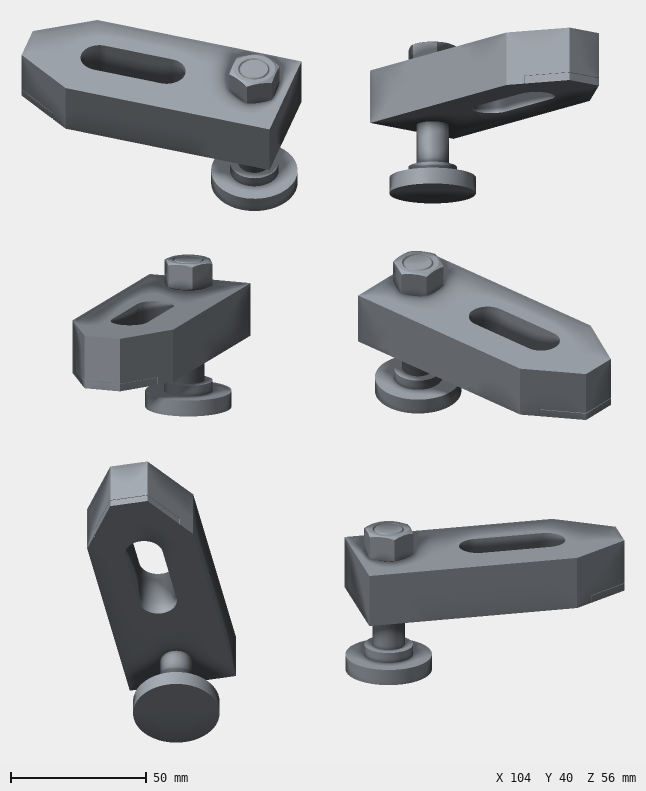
import cadquery as cq
import math

PLATE_LENGTH = 100.0
PLATE_WIDTH = 40.0
PLATE_THICKNESS = 20.0
NOSE_WIDTH = 14.0
NOSE_LENGTH = 21.0
SLOT_START = 21.0
SLOT_LENGTH = 40.0
SLOT_WIDTH = 14.0

PAD_LENGTH = 15.0
PAD_HEIGHT = 3.0
GROOVE_WIDTH = 0.2
GROOVE_DEPTH = 0.3

FOOT_DIAMETER = 32.0
FOOT_THICKNESS = 6.0
COLLAR_DIAMETER = 18.0
COLLAR_THICKNESS = 4.0
SHANK_DIAMETER = 12.0
END_DIAMETER = 11.0
END_CHAMFER = 0.47
STUD_DROP = 26.0
STUD_X = 104.0 - FOOT_DIAMETER / 2

NUT_ACROSS_FLATS = 16.5
NUT_HEIGHT = 10.0
NUT_FACE_DIAMETER = 15.4
NUT_CHAMFER_ANGLE = 25.0
NUT_COUNTERSINK = 0.47

NUT_TOP = PLATE_THICKNESS + NUT_HEIGHT


def plate_outline():
    """Rectangle tapering to a narrower flat nose."""
    half_width = PLATE_WIDTH / 2
    half_nose = NOSE_WIDTH / 2
    return cq.Workplane("XY").polyline([
        (0, -half_nose),
        (NOSE_LENGTH, -half_width),
        (PLATE_LENGTH, -half_width),
        (PLATE_LENGTH, half_width),
        (NOSE_LENGTH, half_width),
        (0, half_nose),
    ]).close()


def nose_block(length, height):
    """Full-width block at the lower corner of the nose."""
    return cq.Workplane("XY").box(length, PLATE_WIDTH, height, centered=(False, True, False))


def pad_groove():
    """Thin L-shaped band that cuts only into the outer skin of the plate."""
    band = nose_block(PAD_LENGTH, PAD_HEIGHT).cut(
        nose_block(PAD_LENGTH - GROOVE_WIDTH, PAD_HEIGHT - GROOVE_WIDTH)
    )
    core = plate_outline().offset2D(-GROOVE_DEPTH).extrude(PLATE_THICKNESS)
    return band.cut(core)


def make_plate():
    slot = (
        cq.Workplane("XY")
        .center(SLOT_START + SLOT_LENGTH / 2, 0)
        .slot2D(SLOT_LENGTH, SLOT_WIDTH)
        .extrude(PLATE_THICKNESS)
    )
    stud_hole = cq.Workplane("XY").center(STUD_X, 0).circle(SHANK_DIAMETER / 2).extrude(PLATE_THICKNESS)
    plate = plate_outline().extrude(PLATE_THICKNESS)
    return plate.cut(slot).cut(stud_hole).cut(pad_groove())


def stud_cylinder(diameter, bottom, top):
    """Cylinder on the stud axis between two heights."""
    return (
        cq.Workplane("XY", origin=(STUD_X, 0, bottom))
        .circle(diameter / 2)
        .extrude(top - bottom)
    )


def make_stud():
    foot_top = FOOT_THICKNESS - STUD_DROP
    collar_top = foot_top + COLLAR_THICKNESS
    foot = stud_cylinder(FOOT_DIAMETER, -STUD_DROP, foot_top)
    collar = stud_cylinder(COLLAR_DIAMETER, foot_top, collar_top)
    shank = stud_cylinder(SHANK_DIAMETER, collar_top, PLATE_THICKNESS)
    end = stud_cylinder(END_DIAMETER, PLATE_THICKNESS, NUT_TOP).faces(">Z").chamfer(END_CHAMFER)
    return foot.union(collar).union(shank).union(end)


def nut_envelope(corner_radius):
    """Turned shape that bevels the hexagon corners at both ends."""
    face_radius = NUT_FACE_DIAMETER / 2
    bevel = (corner_radius - face_radius) * math.tan(math.radians(NUT_CHAMFER_ANGLE))
    return (
        cq.Workplane("XZ")
        .polyline([
            (0, 0),
            (face_radius, 0),
            (corner_radius, bevel),
            (corner_radius, NUT_HEIGHT - bevel),
            (face_radius, NUT_HEIGHT),
            (0, NUT_HEIGHT),
        ])
        .close()
        .revolve(360, (0, 0), (0, 1))
        .translate((STUD_X, 0, PLATE_THICKNESS))
    )


def make_nut():
    """Bevelled hexagon with corners on the Y axis and a countersunk bore."""
    corner_radius = NUT_ACROSS_FLATS / math.sqrt(3)
    hexagon = (
        cq.Workplane("XY")
        .polygon(6, 2 * corner_radius)
        .extrude(NUT_HEIGHT)
        .rotate((0, 0, 0), (0, 0, 1), 90)
        .translate((STUD_X, 0, PLATE_THICKNESS))
    )
    body = hexagon.intersect(nut_envelope(corner_radius))
    bore = stud_cylinder(END_DIAMETER, PLATE_THICKNESS, NUT_TOP)
    return body.cut(bore).faces(">Z").edges("%CIRCLE").edges(
        cq.selectors.RadiusNthSelector(0)
    ).chamfer(NUT_COUNTERSINK)


plate = make_plate()
stud = make_stud()
nut = make_nut()

result = cq.Compound.makeCompound([plate.val(), stud.val(), nut.val()])